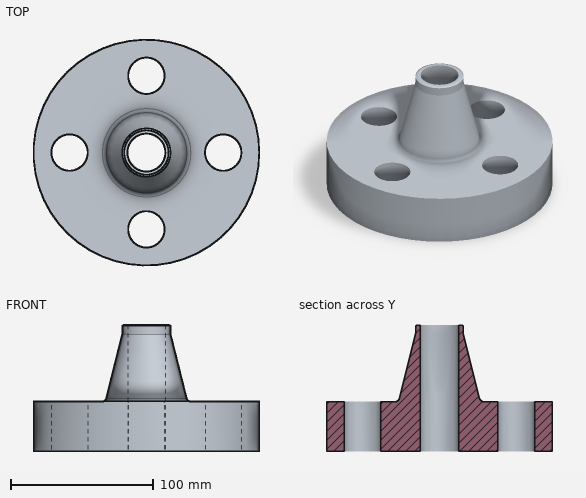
import cadquery as cq

flange_diameter = 158.7
flange_thickness = 35.0

total_height = 88.9
weld_end_diameter = 34.0
weld_end_length = 6.5
weld_end_chamfer_width = 1.5
weld_end_chamfer_height = 0.6
neck_base_diameter = 57.6
neck_root_fillet = 2.9

bore_diameter = 26.5
bolt_hole_diameter = 25.4
bolt_circle_diameter = 108.0
bolt_hole_count = 4


def make_flange():
    """Flat disc standing on the XY plane."""
    return cq.Workplane("XY").circle(flange_diameter / 2).extrude(flange_thickness)


def make_neck():
    """Revolved cone and weld end, with a bevelled top edge."""
    base_radius = neck_base_diameter / 2
    end_radius = weld_end_diameter / 2
    profile = (
        cq.Workplane("XZ")
        .moveTo(0, flange_thickness)
        .lineTo(base_radius, flange_thickness)
        .lineTo(end_radius, total_height - weld_end_length)
        .lineTo(end_radius, total_height - weld_end_chamfer_height)
        .lineTo(end_radius - weld_end_chamfer_width, total_height)
        .lineTo(0, total_height)
        .close()
    )
    return profile.revolve(360, (0, 0, 0), (0, 1, 0))


def fillet_neck_root(body):
    """Round the inside corner where the neck meets the flange."""
    second_largest_circle = cq.selectors.RadiusNthSelector(-2)
    return body.edges("%CIRCLE").edges(second_largest_circle).fillet(neck_root_fillet)


def cut_bore(body):
    """Straight bore through the neck and flange."""
    bore = cq.Workplane("XY").circle(bore_diameter / 2).extrude(total_height)
    return body.cut(bore)


def cut_bolt_holes(body):
    """Through holes evenly spaced on the bolt circle."""
    holes = (
        cq.Workplane("XY")
        .polarArray(bolt_circle_diameter / 2, 0, 360, bolt_hole_count)
        .circle(bolt_hole_diameter / 2)
        .extrude(flange_thickness)
    )
    return body.cut(holes)


body = fillet_neck_root(make_flange().union(make_neck()))
result = cut_bolt_holes(cut_bore(body))